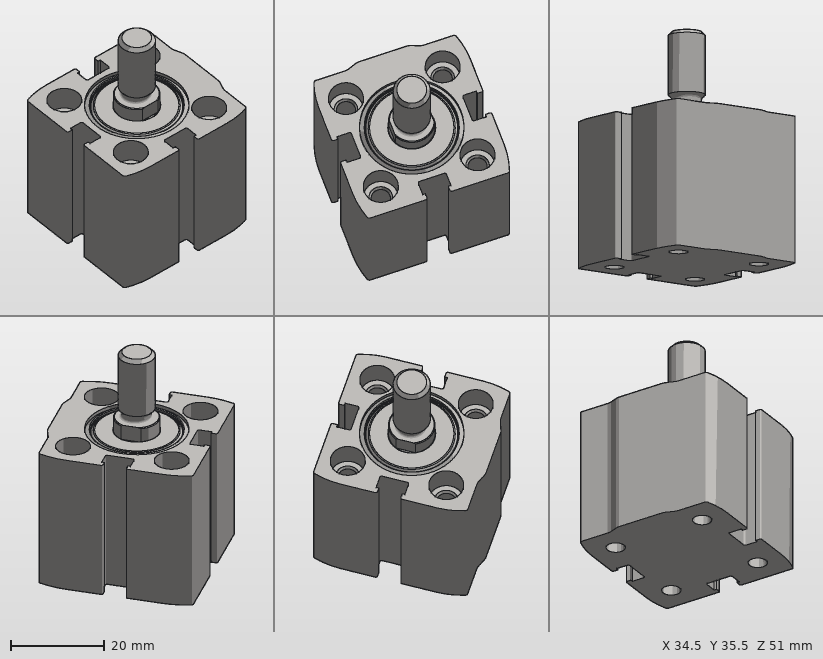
import cadquery as cq
import math


body_half = 17.25
body_height = 32.0
side_flat_half = 10.7
side_curve_radius = 18.85
corner_fillet = 0.6
bump_height = 1.0
bump_foot_half = 8.5
bump_top_half = 5.85
bump_blend = 2.55

slot_depth = 4.55
slot_half_width = 3.2
slot_fillet = 0.4
mouth_half_width = 2.6
mouth_fillet = 0.4
lip_thickness = 1.4

bolt_offset = 11.0
bolt_diameter = 4.15
bolt_mouth_diameter = 5.05
counterbore_diameter = 7.5
counterbore_depth = 5.6

recess_radius = 22.4 / 2
recess_depth = 0.8
ridge_radius = 10.2
ridge_depth = 0.2
ridge_chamfer = 0.2
valley_outer_radius = ridge_radius - ridge_chamfer
valley_inner_radius = 9.85
valley_depth = 0.8
cover_edge_radius = 9.35
cover_edge_depth = 0.4
cover_radius = 9.05
cover_depth = 0.3
bore_chamfer = 0.15

overall_height = 51.0
collar_diameter = 10.0
collar_top = 35.0
collar_chamfer = 0.2
flat_half_width = 4.5
flat_end_depth = 0.5
flat_end_angle = 32.0
rod_insertion = 10.0
stud_diameter = 8.0
stud_chamfer = 0.8
neck_diameter = 6.4
neck_length = 2.3
neck_fillet = 0.6


def housing_outline():
    """Square section with bowed sides and a raised strip on the +Y face."""
    curve_rise = body_half - side_flat_half
    corner_x = body_half - side_curve_radius + math.sqrt(side_curve_radius**2 - curve_rise**2)
    half_rise = curve_rise / 2
    middle_x = body_half - side_curve_radius + math.sqrt(side_curve_radius**2 - half_rise**2)
    middle_y = side_flat_half + half_rise
    return (
        cq.Workplane("XY")
        .moveTo(-corner_x, -body_half)
        .lineTo(corner_x, -body_half)
        .threePointArc((middle_x, -middle_y), (body_half, -side_flat_half))
        .lineTo(body_half, side_flat_half)
        .threePointArc((middle_x, middle_y), (corner_x, body_half))
        .lineTo(bump_foot_half, body_half)
        .lineTo(bump_top_half, body_half + bump_height)
        .lineTo(-bump_top_half, body_half + bump_height)
        .lineTo(-bump_foot_half, body_half)
        .lineTo(-corner_x, body_half)
        .threePointArc((-middle_x, middle_y), (-body_half, side_flat_half))
        .lineTo(-body_half, -side_flat_half)
        .threePointArc((-middle_x, -middle_y), (-corner_x, -body_half))
        .close()
    )


def upright_edges_at(block, x_min, x_max, y_min, y_max):
    """Upright edges of the block within a rectangle and its mirror image in X."""
    box = cq.selectors.BoxSelector
    z_max = body_height
    right = box((x_min, y_min, 0), (x_max, y_max, z_max))
    left = box((-x_max, y_min, 0), (-x_min, y_max, z_max))
    return block.edges("|Z").edges(right + left)


def make_block():
    """Solid block with rounded corners and a blended raised strip."""
    block = housing_outline().extrude(body_height)
    strip_y = (body_half - bump_height, body_half + 2 * bump_height)
    block = upright_edges_at(block, 0, side_flat_half, *strip_y).fillet(bump_blend)
    for y in (-body_half, body_half):
        y_range = (y - corner_fillet, y + corner_fillet)
        block = upright_edges_at(block, side_flat_half, body_half, *y_range).fillet(corner_fillet)
    return block


def make_slot():
    """T slot cutter for the -Y face, with a mouth that flares out at its rounded lips."""
    face = -body_half
    chamber = (
        cq.Workplane("XY")
        .center(0, face + (lip_thickness + slot_depth) / 2)
        .rect(2 * slot_half_width, slot_depth - lip_thickness)
        .extrude(body_height)
    )
    chamber = chamber.edges("|Z and >Y").fillet(slot_fillet)
    bend = mouth_fillet * (1 - math.sqrt(0.5))
    mouth = (
        cq.Workplane("XY")
        .moveTo(-mouth_half_width - mouth_fillet, face)
        .threePointArc((-mouth_half_width - bend, face + bend), (-mouth_half_width, face + mouth_fillet))
        .lineTo(-mouth_half_width, face + slot_depth / 2)
        .lineTo(mouth_half_width, face + slot_depth / 2)
        .lineTo(mouth_half_width, face + mouth_fillet)
        .threePointArc((mouth_half_width + bend, face + bend), (mouth_half_width + mouth_fillet, face))
        .close()
        .extrude(body_height)
    )
    return chamber.union(mouth)


def make_bolt_hole():
    """Cutter for one through hole with a deep counterbore and a countersunk floor."""
    floor = body_height - counterbore_depth
    hole_radius = bolt_diameter / 2
    mouth_radius = bolt_mouth_diameter / 2
    bore_radius = counterbore_diameter / 2
    return (
        cq.Workplane("XZ")
        .polyline([
            (0, 0),
            (hole_radius, 0),
            (hole_radius, floor - (mouth_radius - hole_radius)),
            (mouth_radius, floor),
            (bore_radius, floor),
            (bore_radius, body_height),
            (0, body_height),
        ])
        .close()
        .revolve(360, (0, 0), (0, 1))
    )


def make_cover_recess():
    """Cutter for the stepped rod cover face and the rod bore below it."""
    rod_radius = collar_diameter / 2
    cover_z = body_height - cover_depth
    bore_end = body_height - rod_insertion
    return (
        cq.Workplane("XZ")
        .polyline([
            (0, bore_end),
            (rod_radius, bore_end),
            (rod_radius, cover_z - bore_chamfer),
            (rod_radius + bore_chamfer, cover_z),
            (cover_radius, cover_z),
            (cover_edge_radius, body_height - cover_edge_depth),
            (valley_inner_radius, body_height - valley_depth),
            (valley_outer_radius, body_height - valley_depth),
            (valley_outer_radius, body_height - ridge_depth - ridge_chamfer),
            (ridge_radius, body_height - ridge_depth),
            (recess_radius, body_height - recess_depth),
            (recess_radius, body_height),
            (0, body_height),
        ])
        .close()
        .revolve(360, (0, 0), (0, 1))
    )


def make_housing():
    housing = make_block()
    slot = make_slot()
    for angle in (-90, 0, 90):
        housing = housing.cut(slot.rotate((0, 0, 0), (0, 0, 1), angle))
    bolt_hole = make_bolt_hole()
    for x in (-bolt_offset, bolt_offset):
        for y in (-bolt_offset, bolt_offset):
            housing = housing.cut(bolt_hole.translate((x, y, 0)))
    return housing.cut(make_cover_recess())


def make_rod_blank():
    """Turned rod: collar, undercut neck and chamfered stud."""
    rod_bottom = body_height - rod_insertion
    collar_radius = collar_diameter / 2
    stud_radius = stud_diameter / 2
    neck_radius = neck_diameter / 2
    stud_start = collar_top + neck_length
    cone_start = stud_start - (stud_radius - neck_radius)
    blank = (
        cq.Workplane("XZ")
        .polyline([
            (0, rod_bottom),
            (collar_radius, rod_bottom),
            (collar_radius, collar_top - collar_chamfer),
            (collar_radius - collar_chamfer, collar_top),
            (neck_radius, collar_top),
            (neck_radius, cone_start),
            (stud_radius, stud_start),
            (stud_radius, overall_height - stud_chamfer),
            (stud_radius - stud_chamfer, overall_height),
            (0, overall_height),
        ])
        .close()
        .revolve(360, (0, 0), (0, 1))
    )
    neck_box = cq.selectors.BoxSelector(
        (-stud_radius, -stud_radius, collar_top - collar_chamfer / 2),
        (stud_radius, stud_radius, (cone_start + stud_start) / 2),
        boundingbox=True,
    )
    return blank.edges("%CIRCLE").edges(neck_box).fillet(neck_fillet)


def make_flat():
    """Cutter for the wrench flat on the +X side, with a sloping run-out at its lower end."""
    flat_end = body_height - flat_end_depth
    outer = collar_diameter
    run_out = (outer - flat_half_width) * math.tan(math.radians(flat_end_angle))
    return (
        cq.Workplane("XZ")
        .polyline([
            (flat_half_width, flat_end),
            (outer, flat_end - run_out),
            (outer, collar_top),
            (flat_half_width, collar_top),
        ])
        .close()
        .extrude(collar_diameter / 2, both=True)
    )


def make_rod():
    flat = make_flat()
    return make_rod_blank().cut(flat).cut(flat.mirror("YZ"))


housing = make_housing()
rod = make_rod()
result = cq.Compound.makeCompound([housing.val(), rod.val()])